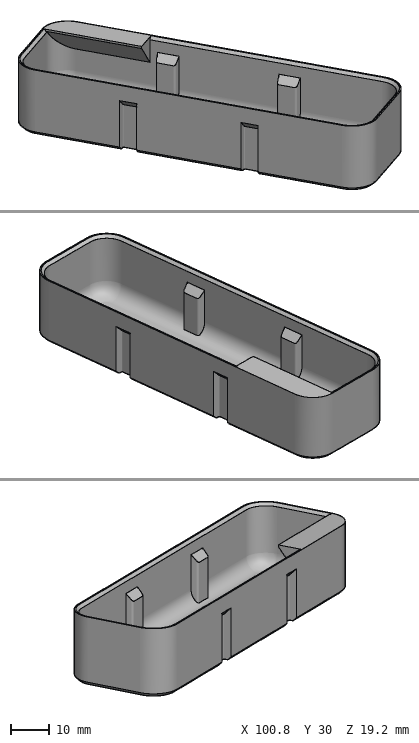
import cadquery as cq

length = 100.8
width = 30.0
height = 19.2
corner_radius = 7.1
bottom_chamfer = 1.0
wall = 1.2
floor_thickness = 1.2
floor_fillet = 4.0

rim_land = 0.4
rim_bevel = wall - rim_land

tab_length = 28.0
tab_width = 7.1
tab_edge_thickness = 0.6
tab_slope_drop = 8.3

rib_spacing = 34.3
recess_width = 4.8
recess_inner_width = 4.4
recess_depth = 2.1
recess_top = 14.7
post_base_width = 6.2
post_tip_width = 5.4
post_reach = 3.2
post_base_top = 15.7
post_edge_fillet = 0.6
recess_edge_fillet = 0.2


def rounded_block(inset, bottom, top):
    """Rounded rectangle, inset from the outer wall, between two heights."""
    return (
        cq.Workplane("XY")
        .workplane(offset=bottom)
        .rect(length - 2 * inset, width - 2 * inset)
        .extrude(top - bottom)
        .edges("|Z")
        .fillet(corner_radius - inset)
    )


def trapezoid_prism(outer_y, inner_y, outer_width, inner_width, top_at_outer, edge_fillet):
    """Upright tapered prism at x = 0 whose top falls at 45 degrees toward +Y."""
    plan = (
        cq.Workplane("XY")
        .polyline([
            (-outer_width / 2, outer_y),
            (outer_width / 2, outer_y),
            (inner_width / 2, inner_y),
            (-inner_width / 2, inner_y),
        ])
        .close()
        .extrude(height)
    )
    plan = plan.edges("|Z and >Y").fillet(edge_fillet)
    side = (
        cq.Workplane("YZ")
        .polyline([
            (outer_y, 0),
            (inner_y, 0),
            (inner_y, top_at_outer - (inner_y - outer_y)),
            (outer_y, top_at_outer),
        ])
        .close()
        .extrude(outer_width / 2, both=True)
    )
    return plan.intersect(side)


def on_both_long_sides(feature):
    """Copies of a front-wall feature at every rib position."""
    copies = cq.Workplane("XY")
    for x in (-rib_spacing / 2, rib_spacing / 2):
        placed = feature.translate((x, 0, 0))
        copies = copies.add(placed).add(placed.mirror("XZ"))
    return copies.combine()


outer = rounded_block(0, 0, height)
body = outer.faces("<Z").edges().chamfer(bottom_chamfer)

cavity = rounded_block(wall, floor_thickness, height).faces("<Z").edges().fillet(floor_fillet)
rim_opening = (
    rounded_block(rim_land, height - rim_bevel, height + rim_bevel)
    .faces("<Z")
    .edges()
    .chamfer(rim_bevel)
)
tray = body.cut(cavity).cut(rim_opening)

back = width / 2
tab_edge = back - tab_width
tab_profile = [
    (back, height),
    (tab_edge, height),
    (tab_edge, height - tab_edge_thickness),
    (back, height - tab_edge_thickness - tab_slope_drop),
]
tab = (
    cq.Workplane("YZ")
    .workplane(offset=-length / 2)
    .polyline(tab_profile)
    .close()
    .extrude(tab_length)
    .intersect(outer)
)

front = -back
post_base = front + wall / 2
post = trapezoid_prism(
    post_base, front + post_reach, post_base_width, post_tip_width, post_base_top, post_edge_fillet
)
post = post.cut(cq.Workplane("XY").box(length, width, floor_thickness))
recess = trapezoid_prism(
    front, front + recess_depth, recess_width, recess_inner_width, recess_top, recess_edge_fillet
)

result = tray.union(tab).union(on_both_long_sides(post)).cut(on_both_long_sides(recess))